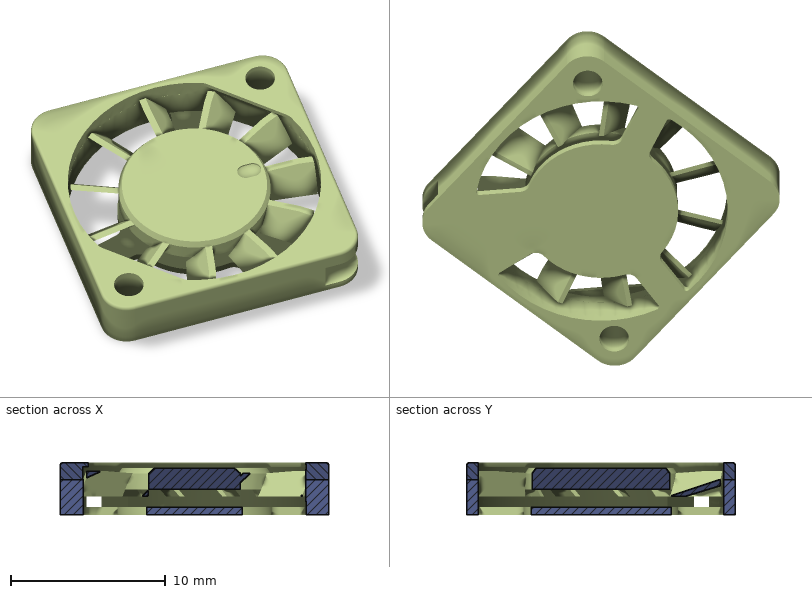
import cadquery as cq
import math

SIDE = 17.4
HEIGHT = 3.4
CORNER_RADIUS = 1.7
COVER_THICKNESS = 1.1
COVER_EDGE_FILLET = 0.21
SPLIT_HEIGHT = HEIGHT - COVER_THICKNESS

BORE_RADIUS = 8.2
LIP_THICKNESS = 0.3
LIP_ANGLE = -45
LIP_DISTANCE = 7.6
LIP_END_FILLET = 1.0
SCREW_HOLE_OFFSET = 6.77
SCREW_HOLE_DIAMETER = 1.91

FLOOR_THICKNESS = 0.5
BASE_RADIUS = 5.0
STRUT_WIDTH = 2.02
STRUT_ANGLES = (165, -75)
STRUT_ROOT_FILLET = 0.7
WIRE_ANGLE = 45
WIRE_CHANNEL_WIDTH = 3.8
WIRE_STRUT_EDGE_ANGLE = 15
STRUT_TIP_FILLET = 0.21

HUB_RADIUS = 4.92
HUB_BOTTOM = 1.65
HUB_TOP = 3.03
HUB_CHAMFER_WIDTH = 0.23
HUB_CHAMFER_HEIGHT = 0.35
MARK_WIDTH = 1.08
MARK_LENGTH = 1.57
MARK_OFFSET = 3.74
MARK_DEPTH = 0.1

BLADE_COUNT = 11
FIRST_BLADE_ANGLE = 180
BLADE_TIP_RADIUS = 8.0
BLADE_BOTTOM = 1.2
BLADE_TOP = 2.85
BLADE_ROOT_TOP = 2.7
BLADE_KINK_RADIUS = 6.98
BLADE_HEAD_WIDTH = 0.45
BLADE_FOOT_WIDTH = 0.31
BLADE_FOOT_Y = -0.75
BLADE_HEAD_Y = 0.65


def cylinder(radius, bottom, top):
    return cq.Workplane("XY").workplane(offset=bottom).circle(radius).extrude(top - bottom)


def frame_block(bottom, top):
    """Rounded square block, before the bore and the holes."""
    block = cq.Workplane("XY").workplane(offset=bottom).rect(SIDE, SIDE).extrude(top - bottom)
    return block.edges("|Z").fillet(CORNER_RADIUS)


def screw_holes():
    places = [(-SCREW_HOLE_OFFSET, SCREW_HOLE_OFFSET), (SCREW_HOLE_OFFSET, -SCREW_HOLE_OFFSET)]
    return cq.Workplane("XY").pushPoints(places).circle(SCREW_HOLE_DIAMETER / 2).extrude(HEIGHT)


def bar(length, width, height, angle):
    """Bar that runs outwards from the fan axis."""
    block = cq.Workplane("XY").rect(length, width).extrude(height).translate((length / 2, 0, 0))
    return block.rotate((0, 0, 0), (0, 0, 1), angle)


def wire_strut():
    """Wide strut: one edge in line with the wire channel, the other edge radial."""
    edge_turn = math.radians(WIRE_ANGLE - WIRE_STRUT_EDGE_ANGLE)
    half_width = WIRE_CHANNEL_WIDTH / 2
    strut = (
        cq.Workplane("XY")
        .polyline([
            (0, 0),
            (0, half_width),
            (SIDE / 2, half_width),
            (SIDE / 2, -SIDE / 2 * math.tan(edge_turn)),
        ])
        .close()
        .extrude(FLOOR_THICKNESS)
    )
    return strut.rotate((0, 0, 0), (0, 0, 1), WIRE_ANGLE)


def make_floor():
    """Bottom layer of the housing: frame, base disc and the struts between them."""
    bore = cylinder(BORE_RADIUS, 0, FLOOR_THICKNESS)
    floor = cylinder(BASE_RADIUS, 0, FLOOR_THICKNESS).union(wire_strut())
    for angle in STRUT_ANGLES:
        floor = floor.union(bar(SIDE / 2, STRUT_WIDTH, FLOOR_THICKNESS, angle))
    floor = frame_block(0, FLOOR_THICKNESS).cut(bore).union(floor.intersect(bore))

    root_box = cq.selectors.BoxSelector(
        (-BASE_RADIUS, -BASE_RADIUS, 0),
        (BASE_RADIUS, BASE_RADIUS, FLOOR_THICKNESS),
    )
    bore_box = cq.selectors.BoxSelector(
        (-BORE_RADIUS, -BORE_RADIUS, 0),
        (BORE_RADIUS, BORE_RADIUS, FLOOR_THICKNESS),
    )
    floor = floor.edges("|Z").edges(bore_box - root_box).fillet(STRUT_TIP_FILLET)
    return floor.edges("|Z").edges(root_box).fillet(STRUT_ROOT_FILLET)


def make_housing():
    """Lower frame with its floor and the wire channel through one corner."""
    channel = bar(SIDE, WIRE_CHANNEL_WIDTH, HEIGHT, WIRE_ANGLE).translate((0, 0, FLOOR_THICKNESS))
    walls = frame_block(FLOOR_THICKNESS, SPLIT_HEIGHT).cut(channel)
    walls = walls.cut(cylinder(BORE_RADIUS, FLOOR_THICKNESS, SPLIT_HEIGHT))
    return walls.union(make_floor()).cut(screw_holes())


def cover_opening():
    """Round passage, crossed at its top by the two straight-edged lips."""
    between_lips = (
        cq.Workplane("XY")
        .rect(2 * LIP_DISTANCE, SIDE)
        .extrude(HEIGHT)
        .rotate((0, 0, 0), (0, 0, 1), LIP_ANGLE)
    )
    below_lips = cylinder(BORE_RADIUS, SPLIT_HEIGHT, HEIGHT - LIP_THICKNESS)
    passage = cylinder(BORE_RADIUS, SPLIT_HEIGHT, HEIGHT).intersect(between_lips)
    return passage.edges("|Z").fillet(LIP_END_FILLET).union(below_lips)


def make_cover():
    plate = frame_block(SPLIT_HEIGHT, HEIGHT).faces(">Z").edges().fillet(COVER_EDGE_FILLET)
    return plate.cut(cover_opening()).cut(screw_holes())


def make_hub():
    """Chamfered disc with a shallow slot-shaped mark in its top."""
    hub = cylinder(HUB_RADIUS, HUB_BOTTOM, HUB_TOP)
    hub = hub.faces(">Z").chamfer(HUB_CHAMFER_HEIGHT, HUB_CHAMFER_WIDTH)
    mark = (
        cq.Workplane("XY")
        .workplane(offset=HUB_TOP - MARK_DEPTH)
        .center(0, MARK_OFFSET)
        .slot2D(MARK_LENGTH, MARK_WIDTH, 90)
        .extrude(MARK_DEPTH)
    )
    return hub.cut(mark)


def make_blade():
    """Slanted blade along +X, trimmed to run from the hub to the tip radius."""
    plate = (
        cq.Workplane("YZ")
        .polyline([
            (BLADE_FOOT_Y, BLADE_BOTTOM),
            (BLADE_HEAD_Y, BLADE_TOP),
            (BLADE_HEAD_Y + BLADE_HEAD_WIDTH, BLADE_TOP),
            (BLADE_FOOT_Y + BLADE_FOOT_WIDTH, BLADE_BOTTOM),
        ])
        .close()
        .extrude(BLADE_TIP_RADIUS)
    )
    side_outline = (
        cq.Workplane("XZ")
        .polyline([
            (0, BLADE_BOTTOM),
            (0, BLADE_ROOT_TOP),
            (HUB_RADIUS, BLADE_ROOT_TOP),
            (BLADE_KINK_RADIUS, BLADE_TOP),
            (BLADE_TIP_RADIUS, BLADE_TOP),
            (BLADE_TIP_RADIUS, BLADE_BOTTOM),
        ])
        .close()
        .extrude(HUB_RADIUS, both=True)
    )
    ring = cylinder(BLADE_TIP_RADIUS, 0, HEIGHT).cut(cylinder(HUB_RADIUS, 0, HEIGHT))
    return plate.intersect(side_outline).intersect(ring)


def make_rotor():
    rotor = make_hub()
    blade = make_blade()
    for index in range(BLADE_COUNT):
        angle = FIRST_BLADE_ANGLE + index * 360 / BLADE_COUNT
        rotor = rotor.union(blade.rotate((0, 0, 0), (0, 0, 1), angle))
    return rotor


housing = make_housing()
cover = make_cover()
rotor = make_rotor()

result = cq.Compound.makeCompound([housing.val(), cover.val(), rotor.val()])